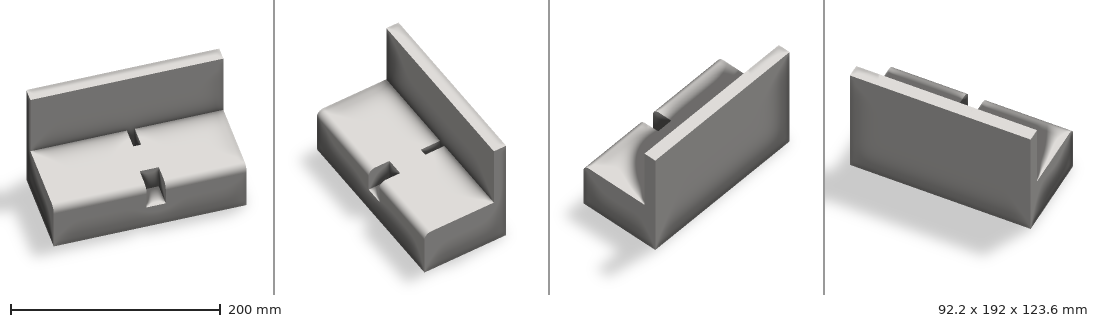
import cadquery as cq

depth = 92.2
length = 192.0
height = 123.6

wall_thickness = 13.8
base_height = 52.8
edge_radius = 7.5

pocket_floor = base_height / 2

notch_length = 23.5
notch_width = 19.0
notch_center_y = 6.0

slot_length = 21.7
slot_width = 7.9
slot_center_y = 3.8


def block(x_size, y_size, z_size):
    """Box standing on Z = 0 from X = 0, centred on Y = 0."""
    return cq.Workplane("XY").box(x_size, y_size, z_size, centered=(False, True, False))


def pocket_cutter(x_start, x_size, y_center, y_size):
    """Rectangular cutter from the pocket floor up to the top of the base."""
    cutter = block(x_size, y_size, base_height - pocket_floor)
    return cutter.translate((x_start, y_center, pocket_floor))


base = block(depth, length, base_height).edges("|Y and >X and >Z").fillet(edge_radius)

wall = block(wall_thickness, length, height)

notch = pocket_cutter(depth - notch_length, notch_length, notch_center_y, notch_width)
slot = pocket_cutter(wall_thickness, slot_length, slot_center_y, slot_width)

result = base.union(wall).cut(notch).cut(slot)